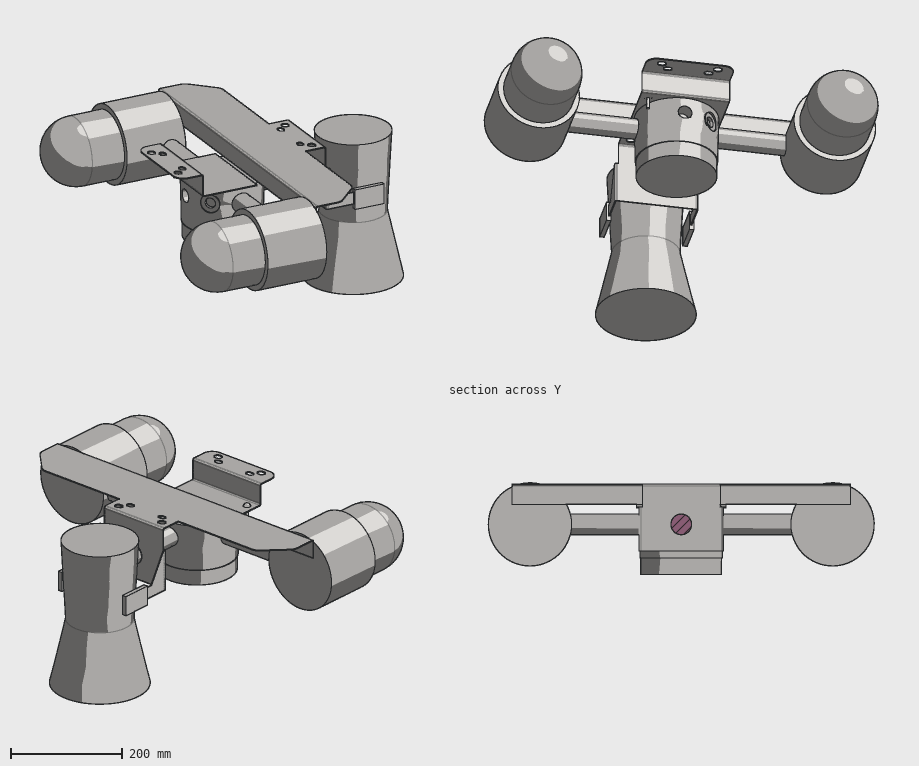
import cadquery as cq
import math


sheet = 2.0
inner_bend = 2.0
outer_bend = inner_bend + sheet
sheet_top = 73.0

overall_width = 695.0
lamp_radius = 75.0
lamp_length = 119.5
lens_radius = 65.0
lens_length = 65.5
lamp_x = overall_width / 2 - lamp_radius

rod_radius = 19.0
box_y = -30.0
box_top = 29.0
box_top_radius = 76.5
box_base_radius = 74.5
lid_top = -60.5
lid_bottom = -90.5
lid_radius = 73.0
face_hole_radius = 12.5
face_hole_depth = 28.0
gland_angle = 45.0
gland_seat = 72.0
gland_radius = 18.0
gland_bore_radius = 10.0
gland_bore_depth = 6.0

horn_y = 236.5
horn_top = 61.0
horn_waist = -94.5
horn_bottom = -223.0
horn_top_radius = 70.0
horn_waist_radius = 62.0
horn_mouth_radius = 91.0

beam_half_width = 304.5
beam_depth = 102.0
beam_flange_bottom = 36.0
beam_chamfer = 50.0
beam_corner_radius = 19.5
neck_half_width = 70.0
neck_end = 144.0

yoke_half_width = 76.5
yoke_top = 31.0
yoke_bottom = -48.0
yoke_shoulder_y = 149.5
arm_start_y = 182.0
arm_top = -25.0
pad_front = 198.0
pad_back = 257.0
pad_bottom = -57.0
pad_top = -19.0
pad_inside = 72.0
pad_outside = 80.5

bracket_half_width = 80.5
bracket_back = -1.5
bracket_web_back = -110.5
bracket_front = -161.0
bracket_corner_radius = 20.0

slot_length = 16.0
outer_slot_x = 51.5
outer_slot_width = 13.0
inner_slot_x = 37.5
inner_slot_width = 11.0
neck_outer_slot_y = 125.0
neck_inner_slot_y = 109.0
lip_outer_slot_y = -147.0
lip_inner_slot_y = -131.5

stud_x = -65.5
stud_y = -92.0
stud_radius = 3.0
stud_bottom = 8.0
stud_head_radius = 7.0
stud_head_height = 5.5


def block(x_min, x_max, y_min, y_max, z_min, z_max):
    """Box given by its limits along each axis."""
    return cq.Workplane("XY").box(
        x_max - x_min, y_max - y_min, z_max - z_min, centered=False
    ).translate((x_min, y_min, z_min))


def extrude_across(points, half_width):
    """Extrude a (Y, Z) outline symmetrically along X."""
    return cq.Workplane("YZ").polyline(points).close().extrude(half_width, both=True)


def round_bend(body, outer_corner, inner_corner):
    """Round both sides of a bend that runs along X, given its (Y, Z) corners."""
    for (y, z), radius in ((outer_corner, outer_bend), (inner_corner, inner_bend)):
        body = body.edges("|X").edges(cq.NearestToPointSelector((0, y, z))).fillet(radius)
    return body


def slot_pattern(outer_y, inner_y):
    """Four vertical slot cutters, mirrored about the middle plane."""
    cutters = cq.Workplane("XY").workplane(offset=sheet_top - 2 * sheet)
    outer = cutters.pushPoints([(-outer_slot_x, outer_y), (outer_slot_x, outer_y)])
    inner = cutters.pushPoints([(-inner_slot_x, inner_y), (inner_slot_x, inner_y)])
    return (
        outer.slot2D(slot_length, outer_slot_width).extrude(3 * sheet)
        .union(inner.slot2D(slot_length, inner_slot_width).extrude(3 * sheet))
    )


def make_lamp():
    """Cylindrical housing with a dome-ended lens, pointing to -Y."""
    lens_end = -lamp_length - lens_length
    dome_mid = lens_radius * math.sqrt(0.5)
    return (
        cq.Workplane("XY")
        .lineTo(lamp_radius, 0)
        .lineTo(lamp_radius, -lamp_length)
        .lineTo(lens_radius, -lamp_length)
        .lineTo(lens_radius, lens_end)
        .threePointArc((dome_mid, lens_end - dome_mid), (0, lens_end - lens_radius))
        .close()
        .revolve(360, (0, 0, 0), (0, 1, 0))
    )


def make_rods():
    """Cross rod between the lamps and a rod from the junction box to the horn."""
    cross_rod = (
        cq.Workplane("YZ").center(box_y, 0).circle(rod_radius).extrude(lamp_x, both=True)
    )
    horn_rod = (
        cq.Workplane("XZ", origin=(0, box_y, 0)).circle(rod_radius).extrude(box_y - horn_y)
    )
    return cross_rod.union(horn_rod)


def make_horn():
    """Solid horn: slightly tapered driver above a flared mouth."""
    return (
        cq.Workplane("XZ")
        .moveTo(0, horn_bottom)
        .lineTo(horn_mouth_radius, horn_bottom)
        .lineTo(horn_waist_radius, horn_waist)
        .lineTo(horn_top_radius, horn_top)
        .lineTo(0, horn_top)
        .close()
        .revolve(360, (0, 0, 0), (0, 1, 0))
        .translate((0, horn_y, 0))
    )


def make_junction_box():
    """Tapered round box and its lid."""
    return (
        cq.Workplane("XZ")
        .moveTo(0, lid_bottom)
        .lineTo(lid_radius, lid_bottom)
        .lineTo(lid_radius, lid_top)
        .lineTo(box_base_radius, lid_top)
        .lineTo(box_top_radius, box_top)
        .lineTo(0, box_top)
        .close()
        .revolve(360, (0, 0, 0), (0, 1, 0))
        .translate((0, box_y, 0))
    )


def radial_cylinder(radius, start, end, angle):
    """Level cylinder on a box radius; angle turns from -Y toward +X."""
    return (
        cq.Workplane("XZ", origin=(0, -start, 0))
        .circle(radius)
        .extrude(end - start)
        .rotate((0, 0, 0), (0, 0, 1), angle)
        .translate((0, box_y, 0))
    )


def make_beam():
    """Angle beam with cut corners and a neck that bends down behind."""
    plate = (
        block(-beam_half_width, beam_half_width, 0, beam_depth, beam_flange_bottom, sheet_top)
        .edges("|Z and >Y").chamfer(beam_chamfer)
    )
    plate = plate.edges("|Z and (not <Y)").fillet(beam_corner_radius)
    plate = plate.cut(
        block(-overall_width, overall_width, sheet, overall_width, -overall_width, sheet_top - sheet)
    )
    plate = round_bend(plate, (0, sheet_top), (sheet, sheet_top - sheet))
    neck = extrude_across(
        [
            (beam_depth - sheet, sheet_top),
            (neck_end, sheet_top),
            (neck_end, yoke_bottom),
            (neck_end - sheet, yoke_bottom),
            (neck_end - sheet, sheet_top - sheet),
            (beam_depth - sheet, sheet_top - sheet),
        ],
        neck_half_width,
    )
    neck = round_bend(neck, (neck_end, sheet_top), (neck_end - sheet, sheet_top - sheet))
    return plate.union(neck).cut(slot_pattern(neck_outer_slot_y, neck_inner_slot_y))


def make_yoke():
    """U-shaped sheet whose two arms carry the pads beside the horn."""
    back = neck_end - sheet
    inside = yoke_half_width - sheet
    channel = (
        block(-yoke_half_width, yoke_half_width, back, pad_back, yoke_bottom, yoke_top)
        .edges("|Z and <Y").fillet(outer_bend)
    )
    channel = channel.cut(
        block(-inside, inside, neck_end, overall_width, yoke_bottom, yoke_top)
        .edges("|Z and <Y").fillet(inner_bend)
    )
    side = extrude_across(
        [
            (back, yoke_bottom),
            (pad_back, yoke_bottom),
            (pad_back, arm_top),
            (arm_start_y, arm_top),
            (yoke_shoulder_y, yoke_top),
            (back, yoke_top),
        ],
        yoke_half_width,
    )
    yoke = channel.intersect(side)
    pad = block(pad_inside, pad_outside, pad_front, pad_back, pad_bottom, pad_top)
    return yoke.union(pad).union(pad.mirror("YZ"))


def make_bracket():
    """Z-shaped bracket: floor on the junction box, web, and slotted lip."""
    floor_top = box_top + sheet
    web_front = bracket_web_back - sheet
    lip_bottom = sheet_top - sheet
    bracket = extrude_across(
        [
            (bracket_back, box_top),
            (web_front, box_top),
            (web_front, lip_bottom),
            (bracket_front, lip_bottom),
            (bracket_front, sheet_top),
            (bracket_web_back, sheet_top),
            (bracket_web_back, floor_top),
            (bracket_back, floor_top),
        ],
        bracket_half_width,
    )
    bracket = round_bend(bracket, (web_front, box_top), (bracket_web_back, floor_top))
    bracket = round_bend(bracket, (bracket_web_back, sheet_top), (web_front, lip_bottom))
    bracket = bracket.edges("|Z and <Y").fillet(bracket_corner_radius)
    return bracket.cut(slot_pattern(lip_outer_slot_y, lip_inner_slot_y))


def make_stud():
    """Earth stud through the bracket floor, with a domed head."""
    floor_top = box_top + sheet
    shank = (
        cq.Workplane("XY", origin=(stud_x, stud_y, stud_bottom))
        .circle(stud_radius)
        .extrude(floor_top - stud_bottom)
    )
    dome_radius = (stud_head_radius**2 + stud_head_height**2) / (2 * stud_head_height)
    dome_center = floor_top + stud_head_height - dome_radius
    head = (
        cq.Workplane("XY", origin=(stud_x, stud_y, dome_center))
        .sphere(dome_radius)
        .intersect(
            cq.Workplane("XY", origin=(stud_x, stud_y, floor_top))
            .circle(stud_head_radius)
            .extrude(2 * stud_head_height)
        )
    )
    return shank.union(head)


lamp = make_lamp()
outside_box = 2 * box_top_radius
gland_spotface = radial_cylinder(gland_radius, gland_seat, outside_box, gland_angle)
gland_bore = radial_cylinder(
    gland_bore_radius, gland_seat - gland_bore_depth, outside_box, gland_angle
)
face_hole = radial_cylinder(
    face_hole_radius, box_top_radius - face_hole_depth, outside_box, 0
)

result = (
    make_rods()
    .union(lamp.translate((-lamp_x, 0, 0)))
    .union(lamp.translate((lamp_x, 0, 0)))
    .union(make_horn())
    .union(make_junction_box())
    .union(make_beam())
    .union(make_yoke())
    .union(make_bracket())
    .union(make_stud())
    .cut(gland_spotface)
    .cut(gland_bore)
    .cut(face_hole)
)